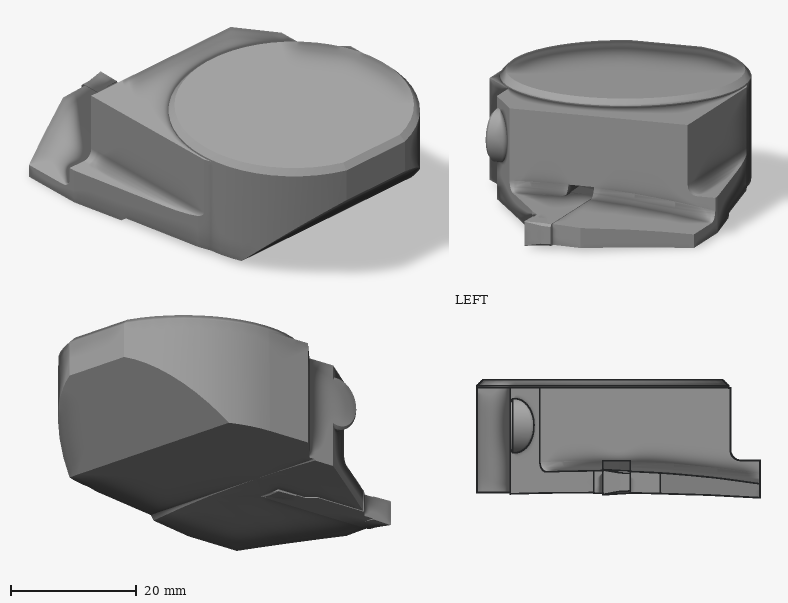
import cadquery as cq
import math


SHANK_RADIUS = 20.0
SHANK_HEIGHT = 17.95
SHANK_CHAMFER = 0.95
SHANK_FLAT_X = 19.0
SHANK_BEVEL_HEIGHT = 11.4

BLOCK_HEIGHT = 16.65
WALL_X = -25.5
NOTCH_Y = 14.75
SIDE_Y = -20.3
LEDGE_HEIGHT = 5.1
CORNER_RADIUS = 1.6

BLADE_FRONT_X = -44.05
BLADE_SIDE_Y = -25.0
BLADE_NOSE_Y = -9.15
BLADE_CORNER_X = -35.0
LEDGE_CORNER_X = -24.5
LEDGE_END = (-0.2, -20.65)
SHANK_MEET_X = 2.0
BACK_CORNER_X = -18.7
BACK_ANGLE = 35.0
BLADE_CREST_Y = 1.3
BLADE_CREST_Z = 3.45
BLADE_TOP_RADIUS = 167.95
BLADE_SOLE_RADIUS = 416.65
SOLE_END_X = -14.55

SCREW_RADIUS = 4.3
SCREW_X = -19.9
SCREW_Z = 10.65
SCREW_LENGTH = 7.7
SCREW_CHAMFER = 0.45

INSERT_LENGTH = 24.5
INSERT_TIP_X = -45.1
INSERT_MID_X = INSERT_TIP_X + INSERT_LENGTH / 2
INSERT_DEPTH = 4.35
INSERT_THICKNESS = 3.6
INSERT_MID_Z = 1.65
INSERT_HUMP = 1.4
INSERT_HUMP_LENGTH = 10.1
FRONT_RELIEF = 0.25
FRONT_RELIEF_DEPTH = 2.7
TIP_LENGTH = 3.85
TIP_WIDTH = 4.05
TIP_BACK_WIDTH = 3.85
TIP_TAPER = (TIP_WIDTH - TIP_BACK_WIDTH) / 2 / TIP_LENGTH
TIP_SIDE_RELIEF = 0.055
TIP_EDGE_BEVEL = 0.05
TIP_HEEL_BEVEL = 0.4
SEAT_TOP_Z = 5.05

CLEARANCE = 3.2
PICK_MARGIN = 0.05


def back_edge_x(y):
    """X of the slanted back edge of the blade at a given Y."""
    return BACK_CORNER_X - (NOTCH_Y - y) / math.tan(math.radians(BACK_ANGLE))


def arc_z(y, crest_z, radius):
    """Height at Y of an arc that bulges upward from its crest."""
    return crest_z - radius + math.sqrt(radius ** 2 - (y - BLADE_CREST_Y) ** 2)


SOLE_DROP = -arc_z(BLADE_SIDE_Y, 0, BLADE_SOLE_RADIUS)


def head_outline():
    """Plan outline of blade and block; its right edge is hidden inside the shank."""
    shank_meet_y = -math.sqrt(SHANK_RADIUS ** 2 - SHANK_MEET_X ** 2)
    back_corner_x = -SHANK_RADIUS * (math.sqrt(2) - 1)
    notch_x = back_corner_x - (SHANK_RADIUS - NOTCH_Y)
    return [
        (BLADE_FRONT_X, 0),
        (BLADE_FRONT_X, BLADE_NOSE_Y),
        (BLADE_CORNER_X, BLADE_SIDE_Y),
        (LEDGE_CORNER_X, BLADE_SIDE_Y),
        LEDGE_END,
        (SHANK_MEET_X, shank_meet_y),
        (0, 0),
        (0, SHANK_RADIUS),
        (back_corner_x, SHANK_RADIUS),
        (notch_x, NOTCH_Y),
        (BACK_CORNER_X, NOTCH_Y),
        (back_edge_x(INSERT_HUMP), INSERT_HUMP),
        (INSERT_MID_X - INSERT_HUMP_LENGTH / 2 - INSERT_HUMP, 0),
    ]


def arched_prism(crest_z, radius, far_z, start_x, end_x):
    """Bar along X between an arched face and the level far_z."""
    y_min = BLADE_SIDE_Y - CLEARANCE
    y_max = SHANK_RADIUS + CLEARANCE
    return (
        cq.Workplane("YZ", origin=(start_x, 0, 0))
        .moveTo(y_min, arc_z(y_min, crest_z, radius))
        .threePointArc((BLADE_CREST_Y, crest_z), (y_max, arc_z(y_max, crest_z, radius)))
        .lineTo(y_max, far_z)
        .lineTo(y_min, far_z)
        .close()
        .extrude(end_x - start_x)
    )


def make_raw_block():
    """Block and blade with the arched blade top and the rounded corner at the wall."""
    blank = (
        cq.Workplane("XY", origin=(0, 0, -SOLE_DROP))
        .polyline(head_outline())
        .close()
        .extrude(BLOCK_HEIGHT + SOLE_DROP)
    )
    above_blade = arched_prism(
        BLADE_CREST_Z, BLADE_TOP_RADIUS, BLOCK_HEIGHT + CLEARANCE, BLADE_FRONT_X - CLEARANCE, WALL_X
    )
    corner = cq.selectors.BoxSelector(
        (WALL_X - PICK_MARGIN, BLADE_SIDE_Y, 0), (WALL_X + PICK_MARGIN, NOTCH_Y, LEDGE_HEIGHT)
    )
    return blank.cut(above_blade).edges(corner).fillet(CORNER_RADIUS)


def ledge_cutter():
    """Space above the ledge, rounded where it meets the side of the block."""
    outer_y = BLADE_SIDE_Y - CLEARANCE
    return (
        cq.Workplane("YZ", origin=(WALL_X - CLEARANCE, 0, 0))
        .moveTo(outer_y, LEDGE_HEIGHT)
        .lineTo(SIDE_Y - CORNER_RADIUS, LEDGE_HEIGHT)
        .radiusArc((SIDE_Y, LEDGE_HEIGHT + CORNER_RADIUS), -CORNER_RADIUS)
        .lineTo(SIDE_Y, BLOCK_HEIGHT + CLEARANCE)
        .lineTo(outer_y, BLOCK_HEIGHT + CLEARANCE)
        .close()
        .extrude(SHANK_RADIUS - WALL_X)
    )


def underside_cutters():
    """Arched space under the blade, and the flat underside with its 45 degree end."""
    low_z = -SOLE_DROP - CLEARANCE
    under_blade = arched_prism(0, BLADE_SOLE_RADIUS, low_z, BLADE_FRONT_X - CLEARANCE, SOLE_END_X)
    under_block = (
        cq.Workplane("XZ", origin=(0, SHANK_RADIUS + CLEARANCE, 0))
        .polyline([
            (SOLE_END_X, 0),
            (SOLE_END_X + low_z, low_z),
            (SHANK_RADIUS, low_z),
            (SHANK_RADIUS, 0),
        ])
        .close()
        .extrude(SHANK_RADIUS - BLADE_SIDE_Y + 2 * CLEARANCE)
    )
    return [under_blade, under_block]


def make_shank():
    """Chamfered disc with a flat on +X and a 45 degree bevel below the flat."""
    disc = cq.Workplane("XY").circle(SHANK_RADIUS).extrude(SHANK_HEIGHT)
    keep = (
        cq.Workplane("XZ", origin=(0, SHANK_RADIUS, 0))
        .polyline([
            (-SHANK_RADIUS, 0),
            (SHANK_FLAT_X - SHANK_BEVEL_HEIGHT, 0),
            (SHANK_FLAT_X, SHANK_BEVEL_HEIGHT),
            (SHANK_FLAT_X, SHANK_HEIGHT),
            (-SHANK_RADIUS, SHANK_HEIGHT),
        ])
        .close()
        .extrude(2 * SHANK_RADIUS)
    )
    return disc.intersect(keep).faces(">Z").edges().chamfer(SHANK_CHAMFER)


def make_screw():
    """Screw end lying along Y, level with the step in the back side."""
    return (
        cq.Workplane("XZ", origin=(SCREW_X, NOTCH_Y, SCREW_Z))
        .circle(SCREW_RADIUS)
        .extrude(SCREW_LENGTH)
        .faces(">Y")
        .chamfer(SCREW_CHAMFER)
    )


def insert_prism(bottom_z, height, end_inset):
    """Prism on the plan outline of the insert, with both relieved ends set in by end_inset."""
    half_length = INSERT_LENGTH / 2 - end_inset
    half_heel = half_length - FRONT_RELIEF
    half_hump = INSERT_HUMP_LENGTH / 2
    return (
        cq.Workplane("XY", origin=(INSERT_MID_X, 0, bottom_z))
        .polyline([
            (-half_length, 0),
            (-half_heel, -FRONT_RELIEF_DEPTH),
            (-half_heel, -INSERT_DEPTH),
            (half_heel, -INSERT_DEPTH),
            (half_heel, -FRONT_RELIEF_DEPTH),
            (half_length, 0),
            (half_hump + INSERT_HUMP, 0),
            (half_hump, INSERT_HUMP),
            (-half_hump, INSERT_HUMP),
            (-half_hump - INSERT_HUMP, 0),
        ])
        .close()
        .extrude(height)
    )


def make_head():
    """Blade, block, shank and screw in one piece, with an open seat for the insert."""
    head = make_raw_block().cut(ledge_cutter())
    for cutter in underside_cutters():
        head = head.cut(cutter)
    head = head.union(make_shank()).union(make_screw())
    return head.cut(insert_prism(-CLEARANCE, SEAT_TOP_Z + CLEARANCE, 0))


def tip_half_width(setback, depth):
    """Half width of a tip at a distance behind the cutting edge and a depth below it."""
    return TIP_WIDTH / 2 - TIP_TAPER * setback - TIP_SIDE_RELIEF * depth


def tip_section(depth, setback, bevel):
    """Corners of the front tip at a given depth, in X and in Z from the middle of the insert."""
    front_x = INSERT_TIP_X + setback
    front_half = tip_half_width(setback, depth) - bevel
    corner_half = tip_half_width(setback + bevel, depth)
    back_x = INSERT_TIP_X + TIP_LENGTH
    back_half = tip_half_width(TIP_LENGTH, depth)
    return [
        (front_x, -front_half),
        (front_x + bevel, -corner_half),
        (back_x, -back_half),
        (back_x, back_half),
        (front_x + bevel, corner_half),
        (front_x, front_half),
    ]


def make_front_tip():
    """Cutting tip: its front is relieved to the relief depth, its sides all the way down."""
    return (
        cq.Workplane("XZ", origin=(0, 0, INSERT_MID_Z))
        .polyline(tip_section(0, 0, TIP_EDGE_BEVEL))
        .close()
        .workplane(offset=FRONT_RELIEF_DEPTH)
        .polyline(tip_section(FRONT_RELIEF_DEPTH, FRONT_RELIEF, TIP_HEEL_BEVEL))
        .close()
        .workplane(offset=INSERT_DEPTH - FRONT_RELIEF_DEPTH)
        .polyline(tip_section(INSERT_DEPTH, FRONT_RELIEF, TIP_HEEL_BEVEL))
        .close()
        .loft(ruled=True)
    )


def make_insert():
    """Flat bar with a clamping back and a wider cutting tip at each end."""
    bar_inset = 2 * TIP_HEEL_BEVEL
    bar = insert_prism(INSERT_MID_Z - INSERT_THICKNESS / 2, INSERT_THICKNESS, bar_inset)
    front_tip = make_front_tip()
    rear_tip = front_tip.mirror("YZ", (INSERT_MID_X, 0, 0))
    return bar.union(front_tip).union(rear_tip)


head = make_head()
insert = make_insert()
result = cq.Compound.makeCompound([head.solids().val(), insert.solids().val()])